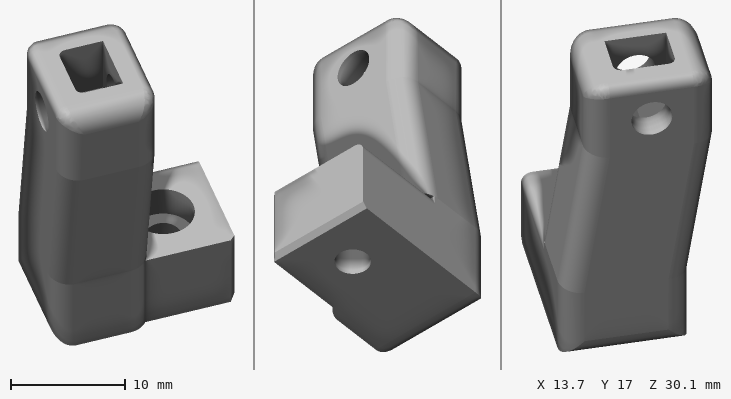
import cadquery as cq
import math

height = 30.1
lean = 2.25
overall_width = 13.73
column_width = overall_width - lean
column_depth = 9.0
foot_height = 7.6
head_base = 22.55
edge_radius = 2.0
top_edge_radius = 1.0

block_width = 10.7
overall_depth = 16.95
block_edge_radius = 1.0
block_round_start = 7.43
block_chamfer = 0.48

mount_x = 5.48
mount_y = 12.0
mount_diameter = 3.2
counterbore_diameter = 5.5
counterbore_depth = 2.98

head_center_x = lean + column_width / 2
cross_diameter = 3.65
cross_z = 26.2

pocket_width = 5.5
pocket_depth_y = 4.18
pocket_front = 2.38
pocket_left = 5.18
pocket_corner_radius = 0.7
pocket_floor_width = 0.48
pocket_taper = (pocket_width - pocket_floor_width) / 2
pocket_taper_angle = 21.0
pocket_taper_top = cross_z - cross_diameter / 2
pocket_taper_drop = pocket_taper * math.tan(math.radians(pocket_taper_angle))
pocket_floor = pocket_taper_top - pocket_taper_drop


def make_column():
    outline = [
        (0, 0),
        (column_width, 0),
        (column_width, foot_height),
        (overall_width, head_base),
        (overall_width, height),
        (lean, height),
        (lean, head_base),
        (0, foot_height),
    ]
    body = cq.Workplane("XZ").polyline(outline).close().extrude(-column_depth)

    margin = 0.3
    between_ends = cq.selectors.BoxSelector(
        (-margin, -margin, margin),
        (overall_width + margin, column_depth + margin, height - margin),
    )
    upright_edges = body.edges(between_ends).edges("not |Y").vals()
    head_side_edges = body.edges("|Y and >Z").vals()
    body = body.newObject(upright_edges + head_side_edges).fillet(edge_radius)

    body = body.faces(">Z").edges("|X").fillet(top_edge_radius)

    slab = cq.Workplane("XY").box(overall_width, column_depth, height, centered=False)
    slab = slab.edges("|X and <Z and <Y").fillet(edge_radius)
    return body.intersect(slab)


def make_block_blank():
    return (
        cq.Workplane("XY")
        .box(block_width, overall_depth - block_round_start, foot_height, centered=False)
        .translate((0, block_round_start, 0))
    )


def make_block():
    block = make_block_blank().edges("|Y and <X and >Z").fillet(block_edge_radius)
    block = block.edges("|X and >Y and <Z").chamfer(block_chamfer)
    block = block.edges("|Z and >X and >Y").chamfer(block_chamfer)

    square_part = (
        cq.Workplane("XY")
        .box(block_width, block_round_start - edge_radius, foot_height, centered=False)
        .translate((0, edge_radius, 0))
    )
    return block.union(square_part)


def make_mount_hole():
    counterbore_floor = foot_height - counterbore_depth
    hole = cq.Workplane("XY").circle(mount_diameter / 2).extrude(foot_height)
    counterbore = (
        cq.Workplane("XY")
        .workplane(offset=counterbore_floor)
        .circle(counterbore_diameter / 2)
        .extrude(counterbore_depth)
    )
    return hole.union(counterbore).translate((mount_x, mount_y, 0))


def make_cross_hole():
    return (
        cq.Workplane("XZ")
        .center(head_center_x, cross_z)
        .circle(cross_diameter / 2)
        .extrude(-column_depth)
    )


def make_pocket():
    profile = [
        (0, height),
        (0, pocket_taper_top),
        (pocket_taper, pocket_floor),
        (pocket_taper + pocket_floor_width, pocket_floor),
        (pocket_width, pocket_taper_top),
        (pocket_width, height),
    ]
    pocket = cq.Workplane("XZ").polyline(profile).close().extrude(-pocket_depth_y)
    pocket = pocket.edges("|Z and <Y").fillet(pocket_corner_radius)
    return pocket.translate((pocket_left, pocket_front, 0))


result = make_column().cut(make_block_blank()).union(make_block())
for cutter in (make_mount_hole(), make_cross_hole(), make_pocket()):
    result = result.cut(cutter)